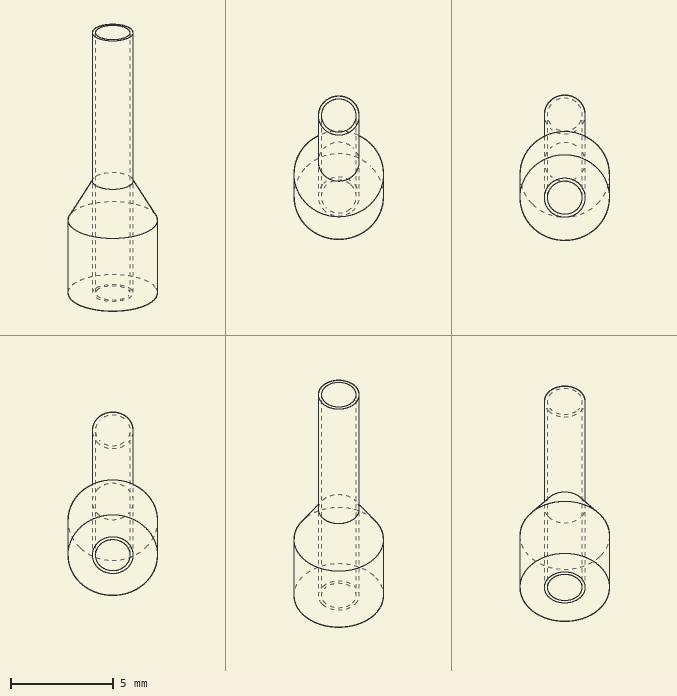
import cadquery as cq

total_length = 14.0

sleeve_diameter = 2.0
sleeve_bore_diameter = 1.7

collar_diameter = 4.4
collar_straight_length = 3.92
collar_taper_length = 2.1
collar_length = collar_straight_length + collar_taper_length


def make_sleeve():
    """Thin-walled tube, open at both ends."""
    return (
        cq.Workplane("XY")
        .circle(sleeve_diameter / 2)
        .circle(sleeve_bore_diameter / 2)
        .extrude(total_length)
    )


def make_collar():
    """Revolved ring around the sleeve, with its taper ending on the sleeve surface."""
    inner_radius = sleeve_diameter / 2
    outer_radius = collar_diameter / 2
    return (
        cq.Workplane("XZ")
        .moveTo(inner_radius, 0)
        .lineTo(outer_radius, 0)
        .lineTo(outer_radius, collar_straight_length)
        .lineTo(inner_radius, collar_length)
        .close()
        .revolve(360, (0, 0, 0), (0, 1, 0))
    )


sleeve = make_sleeve()
collar = make_collar()

result = cq.Compound.makeCompound([sleeve.val(), collar.val()])